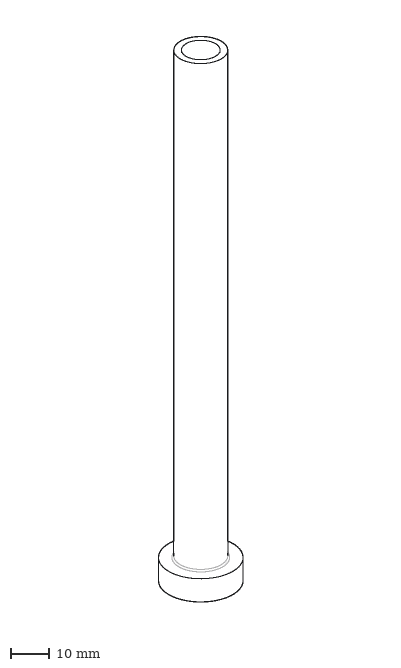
import cadquery as cq

total_length = 160.0
head_diameter = 22.0
head_height = 7.0
tube_diameter = 14.0
bore_diameter = 10.0
root_fillet_radius = 0.5

head = cq.Workplane("XY").circle(head_diameter / 2).extrude(head_height)
tube = cq.Workplane("XY").circle(tube_diameter / 2).extrude(total_length)
body = head.union(tube)

tube_root = cq.selectors.RadiusNthSelector(0)
body = body.faces("<Z[1]").edges(tube_root).fillet(root_fillet_radius)

bore = cq.Workplane("XY").circle(bore_diameter / 2).extrude(total_length)
result = body.cut(bore)